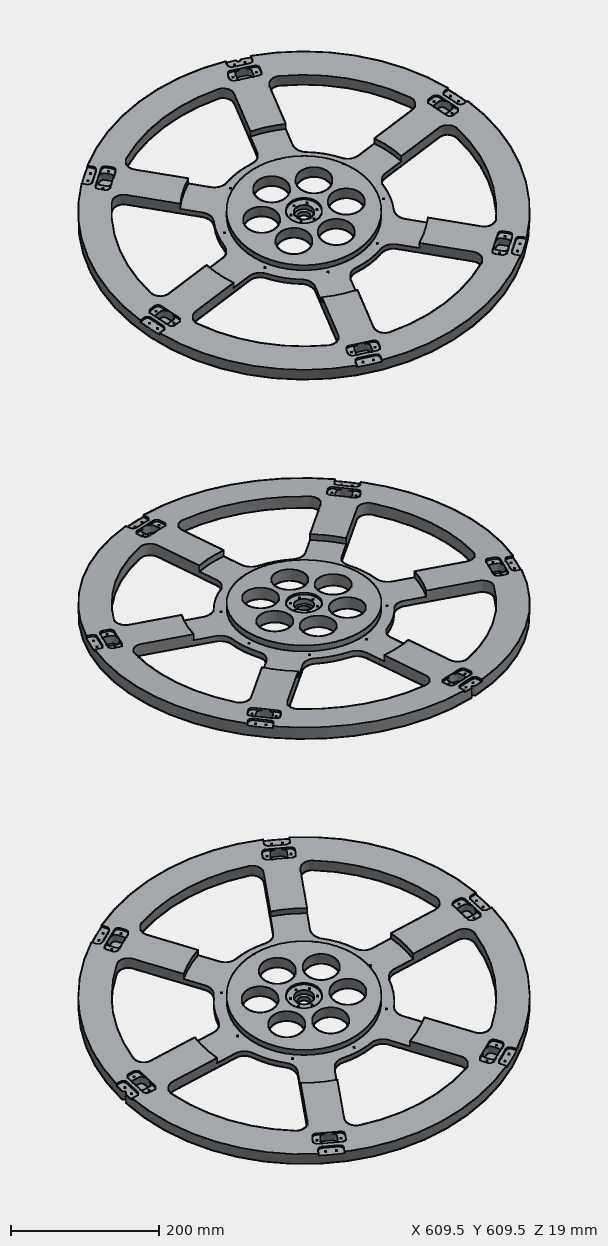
import cadquery as cq
import math

wheel_diameter = 609.5
thickness = 19.0
window_outer_radius = 259.5
window_inner_radius = 122.0
window_outer_fillet = 16.0
window_inner_fillet = 20.0

spoke_count = 6
spoke_pitch = 360 / spoke_count
spoke_width = 50.0
ledge_radius = 167.5
ledge_depth = 10.0

disc_diameter = 209.0
lightening_hole_diameter = 50.0
lightening_circle_radius = 60.0
ledge_screw_count = 8
ledge_screw_radius = 112.0

bore_diameter = 18.0
counterbore_diameter = 27.5
counterbore_depth = 11.0
seat_diameter = 49.0
seat_depth = 3.0
seat_screw_radius = 18.0
first_hole_angle = 90

screw_diameter = 2.0
screw_depth = 6.0

recess_depth = 3.0
recess_fillet = 6.0

latch_radius = 275.0
latch_width = 20.0
latch_length = 45.0
well_length = 23.0
well_depth = 16.0
latch_screw_spacing = 33.0

strike_inner_radius = 291.0
strike_length = 35.5
strike_screw_radius = 297.5
strike_screw_spacing = 14.5

groove_radius = 3.0
groove_mouth_fillet = 2.0

wheel_radius = wheel_diameter / 2
ledge_height = thickness - ledge_depth
recess_floor = thickness - recess_depth
seat_floor = thickness - seat_depth


def cylinder(diameter, bottom, top):
    """Upright cylinder on the wheel axis."""
    return cq.Workplane("XY").workplane(offset=bottom).circle(diameter / 2).extrude(top - bottom)


def holes_at(points, diameter, bottom, top):
    """Upright cylinders at the given plan points."""
    plane = cq.Workplane("XY").workplane(offset=bottom)
    return plane.pushPoints(points).circle(diameter / 2).extrude(top - bottom)


def circle_points(count, radius, first_angle):
    """Evenly spaced plan points on a circle round the wheel axis."""
    angles = [math.radians(first_angle + 360 * i / count) for i in range(count)]
    return [(radius * math.cos(a), radius * math.sin(a)) for a in angles]


def cut_at_spokes(body, tool, offset_angle=0):
    """Cut a tool once per spoke pitch, turned round the wheel axis."""
    for i in range(spoke_count):
        body = body.cut(tool.rotate((0, 0, 0), (0, 0, 1), offset_angle + i * spoke_pitch))
    return body


def make_window():
    """Through window between two spokes, centred on +X."""
    half_pitch = math.radians(spoke_pitch / 2)

    def corner(radius):
        angle = half_pitch - math.asin(spoke_width / 2 / radius)
        return radius * math.cos(angle), radius * math.sin(angle)

    inner_x, inner_y = corner(window_inner_radius)
    outer_x, outer_y = corner(window_outer_radius)
    window = (
        cq.Workplane("XY")
        .moveTo(inner_x, -inner_y)
        .lineTo(outer_x, -outer_y)
        .threePointArc((window_outer_radius, 0), (outer_x, outer_y))
        .lineTo(inner_x, inner_y)
        .threePointArc((window_inner_radius, 0), (inner_x, -inner_y))
        .close()
        .extrude(thickness)
    )
    window = window.edges("|Z").edges(">X").fillet(window_outer_fillet)
    return window.edges("|Z").edges("<X").fillet(window_inner_fillet)


def make_latch_box(length, floor):
    """Latch cavity with rounded corners, open at the top face."""
    return (
        cq.Workplane("XY")
        .workplane(offset=floor)
        .center(latch_radius, 0)
        .rect(latch_width, length)
        .extrude(thickness - floor)
        .edges("|Z")
        .fillet(recess_fillet)
    )


def make_latch_pocket():
    """Latch seat, well and two screw holes on the +X spoke."""
    screw_y = latch_screw_spacing / 2
    screws = holes_at(
        [(latch_radius, -screw_y), (latch_radius, screw_y)],
        screw_diameter, recess_floor - screw_depth, recess_floor,
    )
    seat = make_latch_box(latch_length, recess_floor)
    well = make_latch_box(well_length, thickness - well_depth)
    return seat.union(well).union(screws)


def make_strike_seat():
    """Strike plate seat and two screw holes at the rim on +X."""
    seat_run = wheel_radius - strike_inner_radius + recess_fillet
    seat = (
        cq.Workplane("XY")
        .workplane(offset=recess_floor)
        .center(strike_inner_radius + seat_run / 2, 0)
        .rect(seat_run, strike_length)
        .extrude(recess_depth)
        .edges("|Z and <X")
        .fillet(recess_fillet)
    )
    screw_y = strike_screw_spacing / 2
    screws = holes_at(
        [(strike_screw_radius, -screw_y), (strike_screw_radius, screw_y)],
        screw_diameter, recess_floor - screw_depth, recess_floor,
    )
    return seat.union(screws)


result = cylinder(wheel_diameter, 0, thickness)
result = result.cut(holes_at([(-wheel_radius, 0)], 2 * groove_radius, 0, thickness))
result = result.edges("|Z").edges("<X").fillet(groove_mouth_fillet)

ledge_ring = cylinder(2 * ledge_radius, ledge_height, thickness)
result = result.cut(ledge_ring.cut(cylinder(disc_diameter, ledge_height, thickness)))
result = cut_at_spokes(result, make_window(), spoke_pitch / 2)

lightening_points = circle_points(spoke_count, lightening_circle_radius, first_hole_angle)
result = result.cut(holes_at(lightening_points, lightening_hole_diameter, 0, thickness))
result = result.cut(cylinder(bore_diameter, 0, thickness))
result = result.cut(cylinder(counterbore_diameter, thickness - counterbore_depth, thickness))
result = result.cut(cylinder(seat_diameter, seat_floor, thickness))

seat_screws = circle_points(spoke_count, seat_screw_radius, first_hole_angle)
result = result.cut(holes_at(seat_screws, screw_diameter, seat_floor - screw_depth, seat_floor))
ledge_screws = circle_points(ledge_screw_count, ledge_screw_radius, 0)
result = result.cut(holes_at(ledge_screws, screw_diameter, ledge_height - screw_depth, ledge_height))

result = cut_at_spokes(result, make_latch_pocket())
result = cut_at_spokes(result, make_strike_seat())